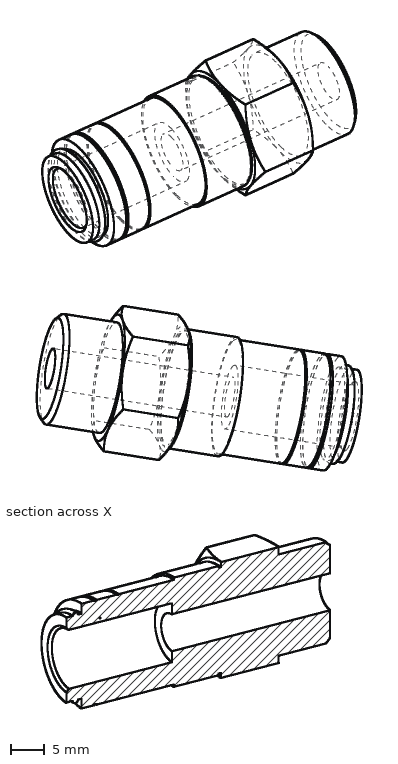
import cadquery as cq
import math

total_length = 46.0
ring_center = 1.6
body_start = 2.65
sleeve_start = 18.75
sleeve_end = 26.6
hex_start = 26.95
hex_end = 37.08

nose_radius = 7.0
ring_radius = 7.45
body_radius = 8.6
sleeve_radius = 8.95
neck_radius = 8.7
thread_radius = 8.33
thread_chamfer = 0.75

ring_wire_radius = 0.5

grooves = [(4.88, 0.35), (8.9, 0.25)]
groove_depth = 0.1

hex_across_flats = 19.0
hex_chamfer_angle = 30

tube_bore_radius = 4.8
tube_bore_depth = 18.4
tube_bore_chamfer = 0.45
through_bore_radius = 3.0


def cylinder(radius, start, end):
    """Solid cylinder on the Y axis from start to end."""
    return cq.Workplane("XZ", origin=(0, start, 0)).circle(radius).extrude(start - end)


def hexagon():
    """Hexagon with corners on X, its corners turned off conically at both ends."""
    flat_radius = hex_across_flats / 2
    corner_radius = flat_radius / math.cos(math.pi / 6)
    corner_drop = (corner_radius - flat_radius) * math.tan(math.radians(hex_chamfer_angle))
    prism = (
        cq.Workplane("XZ", origin=(0, hex_start, 0))
        .polygon(6, 2 * corner_radius)
        .extrude(hex_start - hex_end)
    )
    envelope = (
        cq.Workplane("XY")
        .moveTo(0, hex_start)
        .lineTo(flat_radius, hex_start)
        .lineTo(corner_radius, hex_start + corner_drop)
        .lineTo(corner_radius, hex_end - corner_drop)
        .lineTo(flat_radius, hex_end)
        .lineTo(0, hex_end)
        .close()
        .revolve(360, (0, 0, 0), (0, 1, 0))
    )
    return prism.intersect(envelope)


def retaining_ring():
    """Ring of round cross-section seated around the nose."""
    return (
        cq.Workplane("XY")
        .center(ring_radius - ring_wire_radius, ring_center)
        .circle(ring_wire_radius)
        .revolve(360, (ring_wire_radius - ring_radius, 0, 0), (ring_wire_radius - ring_radius, 1, 0))
    )


def threaded_end():
    """Plain thread cylinder with a chamfered tip."""
    return cylinder(thread_radius, hex_end, total_length).faces(">Y").chamfer(thread_chamfer)


def body():
    """Release-end body with its joint grooves."""
    solid = cylinder(body_radius, body_start, sleeve_start)
    for start, width in grooves:
        cutter = cylinder(body_radius, start, start + width)
        core = cylinder(body_radius - groove_depth, start, start + width)
        solid = solid.cut(cutter.cut(core))
    return solid


def bores():
    """Chamfered tube socket and the smaller through bore."""
    mouth = (
        cq.Workplane("XY")
        .lineTo(tube_bore_radius + tube_bore_chamfer, 0)
        .lineTo(tube_bore_radius, tube_bore_chamfer)
        .lineTo(0, tube_bore_chamfer)
        .close()
        .revolve(360, (0, 0, 0), (0, 1, 0))
    )
    socket = cylinder(tube_bore_radius, 0, tube_bore_depth)
    return socket.union(mouth).union(cylinder(through_bore_radius, 0, total_length))


result = (
    cylinder(nose_radius, 0, body_start)
    .union(retaining_ring())
    .union(body())
    .union(cylinder(sleeve_radius, sleeve_start, sleeve_end))
    .union(cylinder(neck_radius, sleeve_end, hex_start))
    .union(hexagon())
    .union(threaded_end())
    .cut(bores())
)